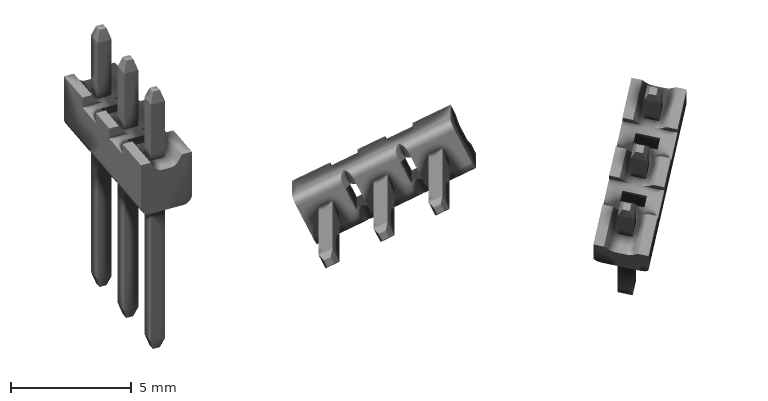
import cadquery as cq
import math


PIN_COUNT = 3
PITCH = 2.54
PIN_LENGTH = 12.83
PIN_WIDTH = 0.64
TIP_WIDTH = 0.32
TIP_LENGTH = 0.51

BODY_LENGTH = 7.33
BODY_DEPTH = 2.34
BODY_HEIGHT = 2.54
PIN_ABOVE_BODY = 2.8
BODY_TOP = PIN_LENGTH - PIN_ABOVE_BODY
BODY_BOTTOM = BODY_TOP - BODY_HEIGHT
BOTTOM_EDGE_RADIUS = 0.4

RECESS_DEPTH = 0.5
TROUGH_MOUTH_WIDTH = 1.44
TROUGH_SHARP_FLOOR_WIDTH = 0.81
TROUGH_RADIUS = 0.4

NOTCH_WIDTH = PITCH / 2
WINDOW_LENGTH = 0.5
WINDOW_DEPTH = 1.04
GROOVE_WIDTH = 0.5
GROOVE_HEIGHT = GROOVE_WIDTH * math.sin(math.radians(60))


def centred_positions(count):
    """X positions of a row spaced by the pitch and centred on X = 0."""
    return [(i - (count - 1) / 2) * PITCH for i in range(count)]


PIN_POSITIONS = centred_positions(PIN_COUNT)
GAP_POSITIONS = centred_positions(PIN_COUNT - 1)


def make_block():
    """Plain body with its two long bottom edges rounded."""
    base = cq.Workplane("XY").workplane(offset=BODY_BOTTOM)
    block = base.rect(BODY_LENGTH, BODY_DEPTH).extrude(BODY_HEIGHT)
    return block.edges("|X and <Z").fillet(BOTTOM_EDGE_RADIUS)


def make_trough():
    """Cutter with sloping sides and rounded floor corners, running along X."""
    floor = BODY_TOP - RECESS_DEPTH
    section = [
        (-TROUGH_MOUTH_WIDTH / 2, BODY_TOP),
        (-TROUGH_SHARP_FLOOR_WIDTH / 2, floor),
        (TROUGH_SHARP_FLOOR_WIDTH / 2, floor),
        (TROUGH_MOUTH_WIDTH / 2, BODY_TOP),
    ]
    trough = cq.Workplane("YZ").polyline(section).close().extrude(BODY_LENGTH / 2, both=True)
    return trough.edges("|X and <Z").fillet(TROUGH_RADIUS)


def make_notch(x):
    """Cutter for the rectangular notch across the top of the body."""
    base = cq.Workplane("XY").workplane(offset=BODY_TOP - RECESS_DEPTH).center(x, 0)
    return base.rect(NOTCH_WIDTH, BODY_DEPTH).extrude(RECESS_DEPTH)


def make_window(x):
    """Cutter for the rectangular window down through the body."""
    base = cq.Workplane("XY").workplane(offset=BODY_BOTTOM).center(x, 0)
    return base.rect(WINDOW_LENGTH, WINDOW_DEPTH).extrude(BODY_HEIGHT)


def make_groove(x):
    """Cutter for the V groove across the bottom of the body."""
    section = [
        (x - GROOVE_WIDTH / 2, BODY_BOTTOM),
        (x, BODY_BOTTOM + GROOVE_HEIGHT),
        (x + GROOVE_WIDTH / 2, BODY_BOTTOM),
    ]
    return cq.Workplane("XZ").polyline(section).close().extrude(BODY_DEPTH / 2, both=True)


def make_tip(x, base_z, direction):
    """Tapered pin end; direction is +1 to point up and -1 to point down."""
    base = cq.Workplane("XY").workplane(offset=base_z).center(x, 0).rect(PIN_WIDTH, PIN_WIDTH)
    return base.workplane(offset=direction * TIP_LENGTH).rect(TIP_WIDTH, TIP_WIDTH).loft(ruled=True)


def make_pin(x):
    """Square pin tapered at both ends."""
    base = cq.Workplane("XY").workplane(offset=TIP_LENGTH).center(x, 0)
    shank = base.rect(PIN_WIDTH, PIN_WIDTH).extrude(PIN_LENGTH - 2 * TIP_LENGTH)
    upper_tip = make_tip(x, PIN_LENGTH - TIP_LENGTH, 1)
    lower_tip = make_tip(x, TIP_LENGTH, -1)
    return shank.union(upper_tip).union(lower_tip)


result = make_block().cut(make_trough())
for gap_x in GAP_POSITIONS:
    result = result.cut(make_notch(gap_x)).cut(make_window(gap_x)).cut(make_groove(gap_x))
for pin_x in PIN_POSITIONS:
    result = result.union(make_pin(pin_x))